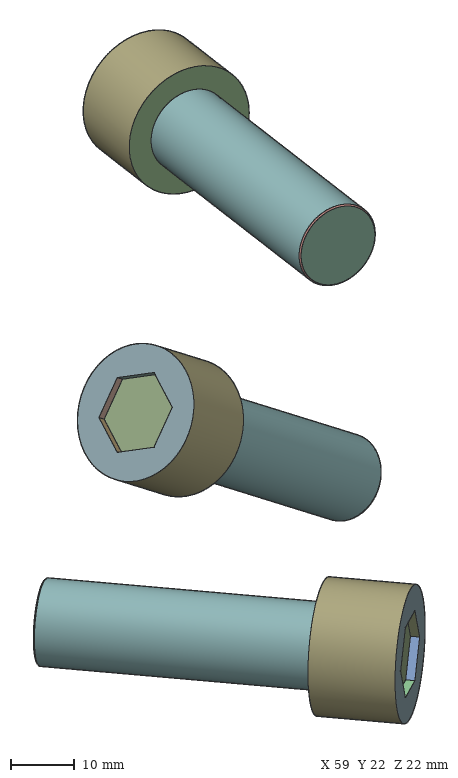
import cadquery as cq
import math

total_length = 59.0
head_diameter = 22.0
shank_diameter = 14.0
head_length = shank_diameter
tip_chamfer = 0.25
socket_across_flats = 12.0
socket_depth = 1.5


def make_head():
    return cq.Workplane("YZ").circle(head_diameter / 2).extrude(head_length)


def make_shank():
    shank = cq.Workplane("YZ").circle(shank_diameter / 2).extrude(total_length)
    return shank.faces(">X").chamfer(tip_chamfer)


def make_socket():
    across_corners = socket_across_flats / math.cos(math.pi / 6)
    return cq.Workplane("YZ").polygon(6, across_corners).extrude(socket_depth)


result = make_head().union(make_shank()).cut(make_socket())